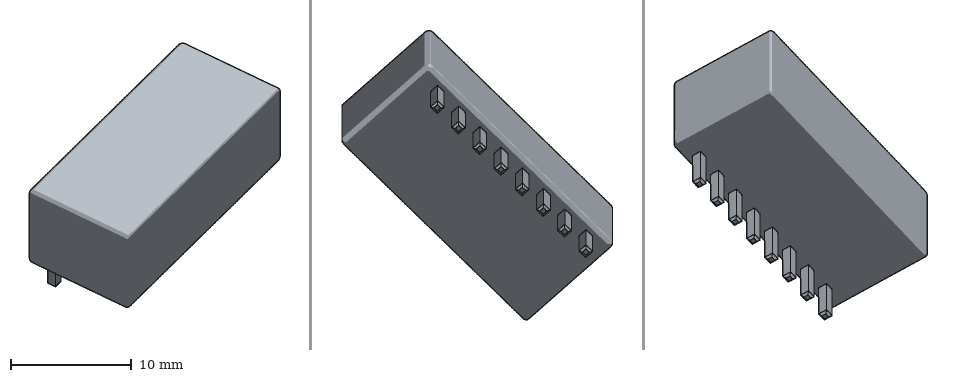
import cadquery as cq

HOUSING_WIDTH = 10.1
HOUSING_LENGTH = 22.32
HOUSING_HEIGHT = 8.2
EDGE_RADIUS = 0.5
END_EDGE_RADIUS = 0.25

PIN_COUNT = 8
PIN_PITCH = 2.55
PIN_SIDE = 0.8
PIN_LENGTH = 3.5
PIN_TIP_CHAMFER = 0.2
PIN_ROW_INSET = 1.2


def make_housing():
    """Block standing on Z = 0 with its -X face at X = 0, rounded on every edge."""
    block = cq.Workplane("XY").box(
        HOUSING_WIDTH, HOUSING_LENGTH, HOUSING_HEIGHT, centered=(False, True, False)
    )
    rounded = block.edges("not(>X)").fillet(EDGE_RADIUS)
    return rounded.faces(">X").edges().fillet(END_EDGE_RADIUS)


def make_pin(y):
    """Square pin hanging from the underside of the housing, with a chamfered tip."""
    pin = cq.Workplane("XY").center(PIN_ROW_INSET, y).rect(PIN_SIDE, PIN_SIDE).extrude(-PIN_LENGTH)
    return pin.faces("<Z").edges().chamfer(PIN_TIP_CHAMFER)


housing = make_housing()

first_pin_y = -(PIN_COUNT - 1) * PIN_PITCH / 2
pins = [make_pin(first_pin_y + i * PIN_PITCH) for i in range(PIN_COUNT)]

result = cq.Compound.makeCompound([housing.val(), *[pin.val() for pin in pins]])